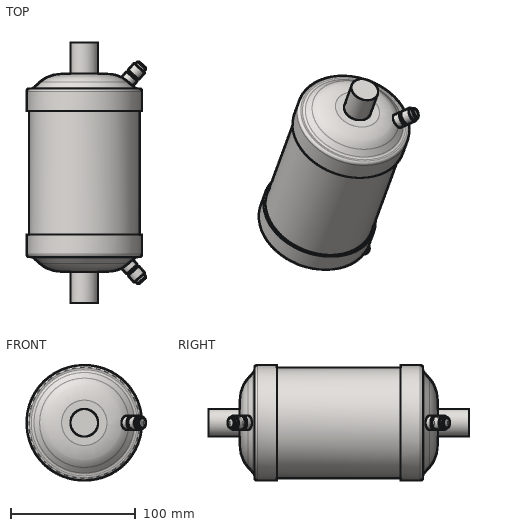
import cadquery as cq
import math

overall_length = 209.0
pipe_radius = 11.0
body_radius = 44.5
collar_radius = 46.5
collar_inner_y = 49.5
collar_outer_y = 67.7
collar_round = 2.5

dome_end_y = 79.5
dome_flat_radius = 18.2
crown_radius = 26.3
skirt_angle = math.radians(42)
root_radius = 3.3

valve_base_x = 34.5
valve_base_y = 73.2
valve_root_depth = 1.5
valve_base_radius = 5.9
valve_base_length = 5.6
valve_neck_radius = 4.8
valve_neck_length = 1.7
valve_nut_radius = 5.9
valve_nut_length = 7.3
valve_tip_radius = 4.5
valve_tip_length = 3.5
valve_tip_chamfer = 0.8


def arc_point(center, radius, angle):
    """Point on an arc, with the angle measured from +Y towards +X."""
    return (center[0] + radius * math.sin(angle), center[1] + radius * math.cos(angle))


def make_end_cap():
    crown_center = (dome_flat_radius, dome_end_y - crown_radius)
    crown_middle = arc_point(crown_center, crown_radius, skirt_angle / 2)
    crown_end = arc_point(crown_center, crown_radius, skirt_angle)

    root_center_y = collar_outer_y + root_radius
    skirt_end_y = root_center_y - root_radius * math.cos(skirt_angle)
    skirt_end_x = crown_end[0] + (crown_end[1] - skirt_end_y) / math.tan(skirt_angle)
    root_center = (skirt_end_x + root_radius * math.sin(skirt_angle), root_center_y)
    root_middle = arc_point(root_center, -root_radius, skirt_angle / 2)

    round_center = (collar_radius - collar_round, collar_outer_y - collar_round)
    round_middle = arc_point(round_center, collar_round, math.pi / 4)

    profile = (
        cq.Workplane("XY")
        .moveTo(0, collar_inner_y)
        .lineTo(0, overall_length / 2)
        .lineTo(pipe_radius, overall_length / 2)
        .lineTo(pipe_radius, dome_end_y)
        .lineTo(dome_flat_radius, dome_end_y)
        .threePointArc(crown_middle, crown_end)
        .lineTo(skirt_end_x, skirt_end_y)
        .threePointArc(root_middle, (root_center[0], collar_outer_y))
        .lineTo(round_center[0], collar_outer_y)
        .threePointArc(round_middle, (collar_radius, round_center[1]))
        .lineTo(collar_radius, collar_inner_y)
        .close()
    )
    return profile.revolve(360, (0, 0, 0), (0, 1, 0))


def make_valve():
    """Stack the valve sections along Z, then lean the valve out of the dome."""
    valve = (
        cq.Workplane("XY")
        .workplane(offset=-valve_root_depth)
        .circle(valve_base_radius)
        .extrude(valve_root_depth + valve_base_length)
    )
    upper_sections = [
        (valve_neck_radius, valve_neck_length),
        (valve_nut_radius, valve_nut_length),
        (valve_tip_radius, valve_tip_length),
    ]
    for radius, length in upper_sections:
        valve = valve.faces(">Z").workplane().circle(radius).extrude(length)
    valve = valve.faces(">Z").edges().chamfer(valve_tip_chamfer)

    axis = (math.sin(skirt_angle), math.cos(skirt_angle), 0)
    base = cq.Plane(origin=(valve_base_x, valve_base_y, 0), xDir=(0, 0, 1), normal=axis)
    return cq.Workplane(valve.val().moved(base.location))


body = cq.Workplane("XZ").circle(body_radius).extrude(collar_inner_y, both=True)
end_assembly = make_end_cap().union(make_valve())
result = body.union(end_assembly).union(end_assembly.mirror("XZ"))